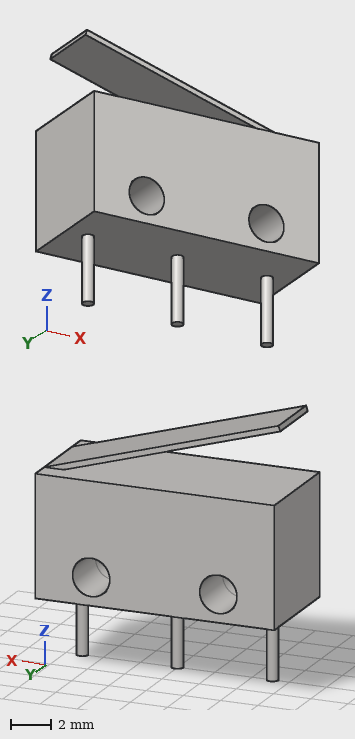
import cadquery as cq
import math

total_height = 13.89
body_length = 12.85
body_width = 5.75
body_height = 6.5
pin_length = 3.61
lever_rise = total_height - body_height - pin_length

hole_diameter = 2.0
hole_spacing = 6.83
hole_height = 1.49

pin_diameter = 0.6
pin_spacing = 5.11
pin_embed = 0.28

lever_width = 3.5
lever_thickness = 0.3
lever_length = 13.15
lever_angle = math.asin(lever_rise / lever_length)


def make_body():
    """Housing standing on Z = 0, with two mounting holes through its width."""
    body = cq.Workplane("XY").box(body_length, body_width, body_height, centered=(True, True, False))
    hole_centers = [(side * hole_spacing / 2, hole_height) for side in (-1, 1)]
    holes = (
        cq.Workplane("XZ")
        .pushPoints(hole_centers)
        .circle(hole_diameter / 2)
        .extrude(body_width, both=True)
    )
    return body.cut(holes)


def make_pins():
    """Three round terminals, starting inside the housing floor and hanging below it."""
    pin_centers = [(index * pin_spacing, 0) for index in (-1, 0, 1)]
    return (
        cq.Workplane("XY", origin=(0, 0, pin_embed))
        .pushPoints(pin_centers)
        .circle(pin_diameter / 2)
        .extrude(-(pin_length + pin_embed))
    )


def make_lever():
    """Flat strip rising toward -X, its upper face ending on the housing's +X top edge."""
    hinge = (body_length / 2, body_height)
    along = (-lever_length * math.cos(lever_angle), lever_rise)
    down = (-lever_thickness * math.sin(lever_angle), -lever_thickness * math.cos(lever_angle))
    return (
        cq.Workplane("XZ")
        .moveTo(*hinge)
        .line(*along)
        .line(*down)
        .line(-along[0], -along[1])
        .close()
        .extrude(lever_width / 2, both=True)
    )


result = make_body().union(make_pins()).union(make_lever())